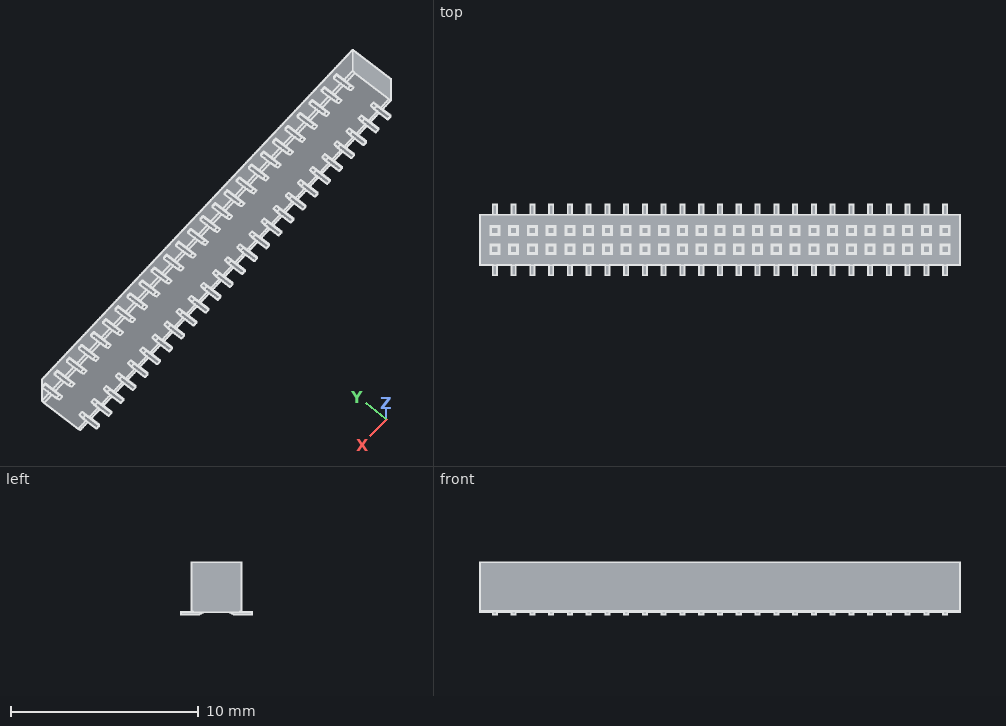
import cadquery as cq

body_length = 25.6
span_y = 3.8
height = 2.8

columns = 25
body_length_in_pitches = 25.6
pitch = body_length / body_length_in_pitches

body_width = 2.7
base_z = 0.115
edge_chamfer_rise = 0.08
edge_chamfer_inset = 0.15

mouth_size = 0.5
floor_size = 0.35
socket_depth = 0.13

tail_width = 0.243
tail_thickness = 0.14
tail_heel_y = 0.92
tail_inner_y = 0.7

columns_x = [(i - (columns - 1) / 2) * pitch for i in range(columns)]
rows_y = [-pitch / 2, pitch / 2]


def copies_at(shape, points):
    """Return one copy of the shape moved to each point in the XY plane."""
    return cq.Workplane("XY").pushPoints(points).eachpoint(lambda place: shape.moved(place))


def make_housing():
    """Long bar with its two long bottom edges chamfered."""
    half_width = body_width / 2
    side_z = base_z + edge_chamfer_rise
    flat_y = half_width - edge_chamfer_inset
    profile = [
        (-half_width, height),
        (-half_width, side_z),
        (-flat_y, base_z),
        (flat_y, base_z),
        (half_width, side_z),
        (half_width, height),
    ]
    return cq.Workplane("YZ").polyline(profile).close().extrude(body_length / 2, both=True)


def make_sockets():
    """Square tapered recesses with a flat floor, one at each contact."""
    socket = (
        cq.Workplane("XY", origin=(0, 0, height))
        .rect(mouth_size, mouth_size)
        .workplane(offset=-socket_depth)
        .rect(floor_size, floor_size)
        .loft(ruled=True)
    )
    points = [(x, y) for x in columns_x for y in rows_y]
    return copies_at(socket.val(), points)


def make_tails():
    """Flat solder tails on both sides, sloping up into the underside at the inner end."""
    tip_y = span_y / 2
    profile = [
        (tip_y, 0),
        (tip_y, tail_thickness),
        (tail_inner_y, tail_thickness),
        (tail_inner_y, base_z),
        (tail_heel_y, 0),
    ]
    tail = cq.Workplane("YZ").polyline(profile).close().extrude(tail_width / 2, both=True)
    opposite_tail = tail.mirror("XZ")
    points = [(x, 0) for x in columns_x]
    return copies_at(tail.val(), points).add(copies_at(opposite_tail.val(), points))


housing = make_housing().cut(make_sockets())
tails = make_tails()
result = housing.union(tails.combine())